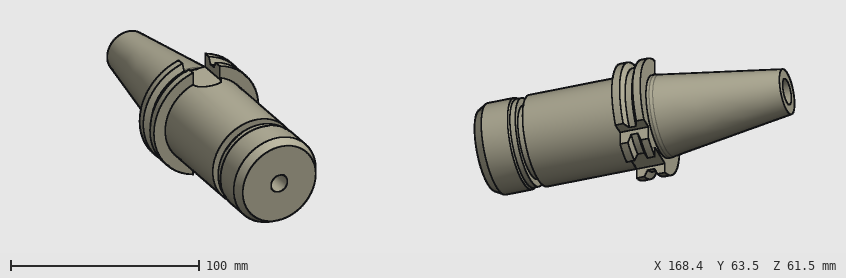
import cadquery as cq

length = 168.4
taper_end = 68.0
shoulder_start = 69.9
flange_start = 71.5
flange_end = 87.5
body_end = 140.3
collar_start = 144.7
collar_end = 147.7
nut_start = 148.7
nut_chamfer_start = 163.5
nut_edge_break = 0.3

taper_small_radius = 12.3
taper_large_radius = taper_small_radius + taper_end * 7 / 48
flange_diameter = 63.5
flange_radius = flange_diameter / 2
shoulder_radius = 22.5
groove_radius = 28.1
body_radius = 25.0
neck_radius = 20.0
collar_radius = 24.0
nut_end_radius = 22.4

groove_center = 79.5
groove_floor_width = 3.7
groove_mouth_width = 7.4

slot_width = 16.0
upper_slot_floor = 22.7
lower_slot_floor = body_radius
notch_y = 18.5
notch_z = -18.4

bore_diameter = 10.0
counterbore_diameter = 14.0
counterbore_depth = 28.0


def turned_body():
    """Revolve the taper, flange, cylindrical body and clamping nut about X."""
    groove_floor = groove_floor_width / 2
    groove_mouth = groove_mouth_width / 2
    profile = [
        (0, 0),
        (0, taper_small_radius),
        (taper_end, taper_large_radius),
        (shoulder_start, shoulder_radius),
        (flange_start, shoulder_radius),
        (flange_start, flange_radius),
        (groove_center - groove_mouth, flange_radius),
        (groove_center - groove_floor, groove_radius),
        (groove_center + groove_floor, groove_radius),
        (groove_center + groove_mouth, flange_radius),
        (flange_end, flange_radius),
        (flange_end, body_radius),
        (body_end, body_radius),
        (body_end, neck_radius),
        (collar_start, neck_radius),
        (collar_start, collar_radius),
        (collar_end, collar_radius),
        (nut_start, body_radius),
        (nut_chamfer_start, body_radius),
        (length - nut_edge_break, nut_end_radius),
        (length, nut_end_radius - nut_edge_break),
        (length, 0),
    ]
    return cq.Workplane("XY").polyline(profile).close().revolve(360, (0, 0, 0), (1, 0, 0))


def drive_slot(floor):
    """Slot cutter above height floor, with a round end just past the flange."""
    outline = (
        cq.Workplane("XY", origin=(0, 0, floor))
        .moveTo(flange_start, -slot_width / 2)
        .lineTo(flange_end, -slot_width / 2)
        .threePointArc((flange_end + slot_width / 2, 0), (flange_end, slot_width / 2))
        .lineTo(flange_start, slot_width / 2)
        .close()
    )
    return outline.extrude(flange_radius)


def orientation_notch():
    """Square corner cut through the full flange width."""
    return cq.Workplane("XY").box(
        flange_end - flange_start, flange_radius, flange_radius, centered=False
    ).translate((flange_start, notch_y, notch_z - flange_radius))


def bore():
    """Through bore with a counterbore at the taper end."""
    through = cq.Workplane("YZ").circle(bore_diameter / 2).extrude(length)
    counterbore = cq.Workplane("YZ").circle(counterbore_diameter / 2).extrude(counterbore_depth)
    return through.union(counterbore)


lower_slot = drive_slot(lower_slot_floor).rotate((0, 0, 0), (1, 0, 0), 180)
result = (
    turned_body()
    .cut(drive_slot(upper_slot_floor))
    .cut(lower_slot)
    .cut(orientation_notch())
    .cut(bore())
)